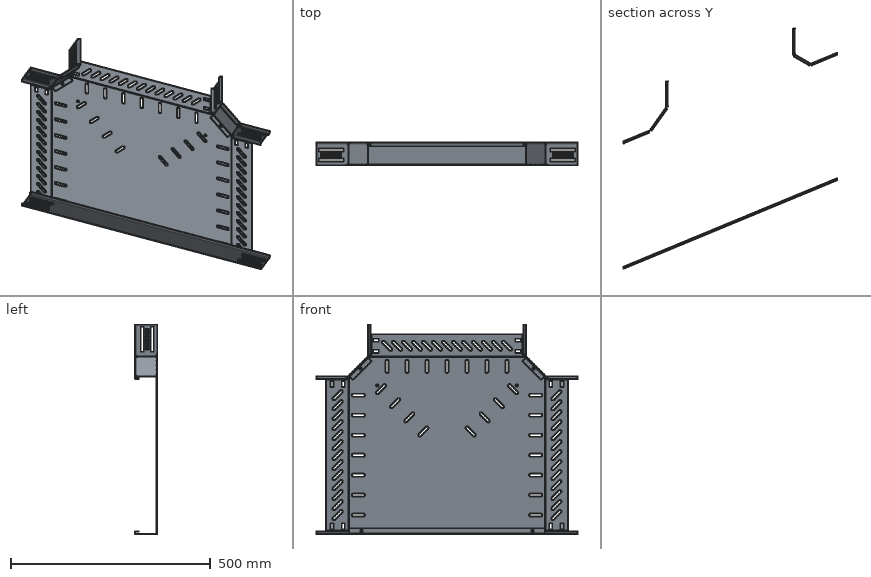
import cadquery as cq
import math


sheet = 1.2
depth = 57.0
overall_length = 654.0
main_width = 396.0
end_length = 80.0
corner_run = 48.99

half_length = overall_length / 2
joint_x = half_length - end_length
branch_half_width = joint_x - corner_run
joint_z = main_width + corner_run
overall_height = joint_z + end_length
main_middle = main_width / 2
corner_length = corner_run * math.sqrt(2)
corner_middle = (-(joint_x + branch_half_width) / 2, (main_width + joint_z) / 2)

bend_radius = 1.7
lip_radius = 3.75
lip_return = 10.0
end_flange = 7.0
seat_flange = 15.0
seat_gap = 0.5
corner_relief = 1.5
relief_depth = 1.5
end_flange_gap = 5.5

rail_pattern_from_end = 37.0
rail_slot_length = 62.0
rail_slot_width = 7.0
rail_slot_rows = (13.0, 38.0)
louvre_count = 9
louvre_pitch = 6.0
louvre_width = 2.5
louvre_length = 8.5

rivet_diameter = 5.5
rivet_inset = 8.5
straight_rivet_x = 214.0

plate_clearance = 3.0
wing_length = 56.0
wing_clearance = 9.0
wing_flare = 5.0
joggle_run = 2.0

slot_length = 32.5
slot_width = 7.0
edge_slot_count = 7
edge_slot_pitch = 50.0
edge_slot_inset = 25.0
wing_slot_count = 13
wing_slot_pitch = 25.0
wing_slot_reach = 26.8
end_hole_length = 14.0
end_hole_width = 7.0
end_hole_spacing = 28.0
end_hole_inset = 20.0
corner_slot_count = 4
corner_slot_pitch = 50.0
corner_slot_start = 81.0
corner_hole_start = 68.0
corner_hole_diameter = 5.5


def box(x_range, y_range, z_range):
    size = [high - low for low, high in (x_range, y_range, z_range)]
    corner = (x_range[0], y_range[0], z_range[0])
    return cq.Workplane("XY").box(*size, centered=False).translate(corner)


def across_base(sketch):
    """Extrude a sketch on the XZ plane both ways, through the base plate and the rail flanges."""
    return sketch.extrude(4 * sheet, both=True)


def slot_cutter(x, z, angle):
    plane = cq.Workplane("XZ").center(x, z)
    return across_base(plane.slot2D(slot_length, slot_width, angle))


def hole_cutter(x, z, diameter):
    return across_base(cq.Workplane("XZ").center(x, z).circle(diameter / 2))


def rectangle_cutter(x, z, x_size, z_size):
    return across_base(cq.Workplane("XZ").center(x, z).rect(x_size, z_size))


def evenly_spaced(count, pitch):
    return [(i - (count - 1) / 2) * pitch for i in range(count)]


def flange(start, end, width):
    inner_radius = bend_radius - sheet
    profile = (
        cq.Workplane("YZ", origin=(start, 0, 0))
        .moveTo(0, width)
        .lineTo(0, bend_radius)
        .radiusArc((bend_radius, 0), -bend_radius)
        .lineTo(bend_radius, sheet)
        .radiusArc((sheet, bend_radius), inner_radius)
        .lineTo(sheet, width)
        .close()
    )
    return profile.extrude(end - start)


def lip(start, end):
    roll_y = depth - lip_radius
    inner_radius = lip_radius - sheet
    profile = (
        cq.Workplane("YZ", origin=(start, 0, 0))
        .moveTo(roll_y, 0)
        .threePointArc((depth, lip_radius), (roll_y, 2 * lip_radius))
        .lineTo(depth - lip_return, 2 * lip_radius)
        .lineTo(depth - lip_return, 2 * lip_radius - sheet)
        .lineTo(roll_y, 2 * lip_radius - sheet)
        .threePointArc((roll_y + inner_radius, lip_radius), (roll_y, sheet))
        .close()
    )
    return profile.extrude(end - start)


def rail_end_cutters(middle):
    """Two long slots and a row of narrow ones between them, through the web."""
    z_range = (-sheet, 2 * sheet)
    cutters = cq.Workplane("XY")
    half_slot = rail_slot_length / 2
    for row in rail_slot_rows:
        y_range = (row - rail_slot_width / 2, row + rail_slot_width / 2)
        cutters = cutters.add(box((middle - half_slot, middle + half_slot), y_range, z_range))
    row = sum(rail_slot_rows) / 2
    y_range = (row - louvre_length / 2, row + louvre_length / 2)
    for offset in evenly_spaced(louvre_count, louvre_pitch):
        x = middle + offset
        cutters = cutters.add(box((x - louvre_width / 2, x + louvre_width / 2), y_range, z_range))
    return cutters


def cut_all(body, cutters):
    return body.cut(cq.Workplane(cq.Compound.makeCompound(cutters.vals())))


def placed(local, x, z, heading):
    """Move a rail piece to its start, running at `heading` degrees from +X towards +Z."""
    return local.rotate((0, 0, 0), (0, 1, 0), -heading).translate((x, 0, z))


def make_straight_rail():
    seat_half = joint_x - joggle_run - seat_gap
    web = box((-half_length, half_length), (bend_radius, depth - lip_radius), (0, sheet))
    rail = (
        web.union(lip(-half_length, half_length))
        .union(flange(-half_length, half_length, end_flange))
        .union(flange(-seat_half, seat_half, seat_flange))
    )
    middle = half_length - rail_pattern_from_end
    for side in (-1, 1):
        rail = cut_all(rail, rail_end_cutters(side * middle))
        rail = rail.cut(hole_cutter(side * straight_rivet_x, rivet_inset, rivet_diameter))
    return rail


def on_corner_bisector(distance):
    """Point on the left corner's bisector, measured inwards from the corner web."""
    step = distance / math.sqrt(2)
    return corner_middle[0] + step, corner_middle[1] - step


def bend_relief(x, z, y_start, y_end):
    """Notch along a bend line of the web."""
    return cq.Workplane("XZ", origin=(x, y_start, z)).circle(corner_relief).extrude(y_start - y_end)


def make_left_corner_rail():
    bend_shift = sheet * math.tan(math.radians(45 / 2))
    web = (
        cq.Workplane("XZ", origin=(0, bend_radius, 0))
        .moveTo(-branch_half_width, overall_height)
        .lineTo(-branch_half_width, joint_z)
        .lineTo(-joint_x, main_width)
        .lineTo(-half_length, main_width)
        .lineTo(-half_length, main_width - sheet)
        .lineTo(-joint_x + bend_shift, main_width - sheet)
        .lineTo(-branch_half_width + sheet, joint_z - bend_shift)
        .lineTo(-branch_half_width + sheet, overall_height)
        .close()
        .extrude(-(depth - lip_radius - bend_radius))
    )
    branch_end = lip(0, end_length - corner_relief).union(
        flange(0, end_length - end_flange_gap, end_flange))
    corner = lip(corner_relief, corner_length - corner_relief).union(
        flange(corner_relief, corner_length - corner_relief, seat_flange))
    main_end = lip(corner_relief, end_length).union(
        flange(end_flange_gap, end_length, end_flange))
    rail = (
        web.union(placed(branch_end, -branch_half_width, overall_height, -90))
        .union(placed(corner, -branch_half_width, joint_z, -135))
        .union(placed(main_end, -joint_x, main_width, 180))
    )
    branch_holes = rail_end_cutters(rail_pattern_from_end)
    main_holes = rail_end_cutters(end_length - rail_pattern_from_end)
    rail = cut_all(rail, placed(branch_holes, -branch_half_width, overall_height, -90))
    rail = cut_all(rail, placed(main_holes, -joint_x, main_width, 180))
    for x, z in ((-branch_half_width, joint_z), (-joint_x, main_width)):
        rail = rail.cut(bend_relief(x, z, 0, bend_radius + relief_depth))
        rail = rail.cut(bend_relief(x, z, depth - lip_radius - relief_depth, depth))
    return rail.cut(hole_cutter(*on_corner_bisector(rivet_inset), rivet_diameter))


def make_panel():
    """Main panel, lying on the rail flanges, with its two upper corners cut at 45 degrees."""
    side = joint_x - joggle_run
    top = joint_z - joggle_run
    edge_sum = joint_x + main_width - plate_clearance * math.sqrt(2)
    outline = (
        cq.Workplane("XZ", origin=(0, sheet, 0))
        .moveTo(-side, plate_clearance)
        .lineTo(side, plate_clearance)
        .lineTo(side, edge_sum - side)
        .lineTo(edge_sum - top, top)
        .lineTo(top - edge_sum, top)
        .lineTo(-side, edge_sum - side)
        .close()
    )
    return outline.extrude(-sheet)


def wing(low_edge, high_edge, flare_low):
    """Wing running along +X from its joggle at X = 0, flared at its upper and perhaps its lower edge."""
    slope = math.atan2(sheet, joggle_run)
    shift = sheet * math.tan(slope / 2)
    inner = -joggle_run - sheet
    section = (
        cq.Workplane("XY", origin=(0, 0, low_edge - wing_flare))
        .moveTo(inner, sheet)
        .lineTo(-joggle_run, sheet)
        .lineTo(0, 0)
        .lineTo(wing_length, 0)
        .lineTo(wing_length, sheet)
        .lineTo(shift, sheet)
        .lineTo(shift - joggle_run, 2 * sheet)
        .lineTo(inner, 2 * sheet)
        .close()
        .extrude(high_edge - low_edge + 2 * wing_flare)
    )
    outline = cq.Workplane("XZ").moveTo(inner, high_edge + wing_flare)
    outline = outline.lineTo(0, high_edge + wing_flare).lineTo(wing_flare, high_edge)
    outline = outline.lineTo(wing_length, high_edge).lineTo(wing_length, low_edge)
    if flare_low:
        outline = outline.lineTo(wing_flare, low_edge).lineTo(0, low_edge - wing_flare)
        outline = outline.lineTo(inner, low_edge - wing_flare)
    else:
        outline = outline.lineTo(inner, low_edge)
    return section.intersect(outline.close().extrude(-2 * sheet))


def make_base_plate():
    right_wing = wing(wing_clearance, main_width - wing_clearance, False).translate((joint_x, 0, 0))
    branch_edge = branch_half_width - wing_clearance
    branch_wing = placed(wing(-branch_edge, branch_edge, True), 0, joint_z, 90)
    plate = make_panel().union(right_wing).union(right_wing.mirror("YZ")).union(branch_wing)

    cutters = cq.Workplane("XZ")
    wing_middle_x = joint_x + wing_slot_reach
    wing_middle_z = joint_z + wing_slot_reach
    for offset in evenly_spaced(edge_slot_count, edge_slot_pitch):
        cutters = cutters.add(slot_cutter(offset, joint_z - edge_slot_inset, 90))
        for side in (-1, 1):
            cutters = cutters.add(slot_cutter(side * (joint_x - edge_slot_inset), main_middle + offset, 0))
    for offset in evenly_spaced(wing_slot_count, wing_slot_pitch):
        cutters = cutters.add(slot_cutter(offset, wing_middle_z, -45))
        for side in (-1, 1):
            cutters = cutters.add(slot_cutter(side * wing_middle_x, main_middle + offset, 45))
    for across in evenly_spaced(2, end_hole_spacing):
        for side in (-1, 1):
            x = side * (branch_half_width - end_hole_inset)
            cutters = cutters.add(rectangle_cutter(x, wing_middle_z + across, end_hole_length, end_hole_width))
            x = side * wing_middle_x + across
            for z in (end_hole_inset, main_width - end_hole_inset):
                cutters = cutters.add(rectangle_cutter(x, z, end_hole_width, end_hole_length))
    rivet_x, rivet_z = on_corner_bisector(rivet_inset)
    hole_x, hole_z = on_corner_bisector(corner_hole_start)
    for side in (1, -1):
        cutters = cutters.add(hole_cutter(side * straight_rivet_x, rivet_inset, rivet_diameter))
        cutters = cutters.add(hole_cutter(side * rivet_x, rivet_z, rivet_diameter))
        cutters = cutters.add(hole_cutter(side * hole_x, hole_z, corner_hole_diameter))
        for i in range(corner_slot_count):
            x, z = on_corner_bisector(corner_slot_start + i * corner_slot_pitch)
            cutters = cutters.add(slot_cutter(side * x, z, 45 * side))
    return cut_all(plate, cutters)


base_plate = make_base_plate()
straight_rail = make_straight_rail()
left_corner_rail = make_left_corner_rail()
right_corner_rail = left_corner_rail.mirror("YZ")

result = cq.Compound.makeCompound(
    [base_plate.val(), straight_rail.val(), left_corner_rail.val(), right_corner_rail.val()]
)